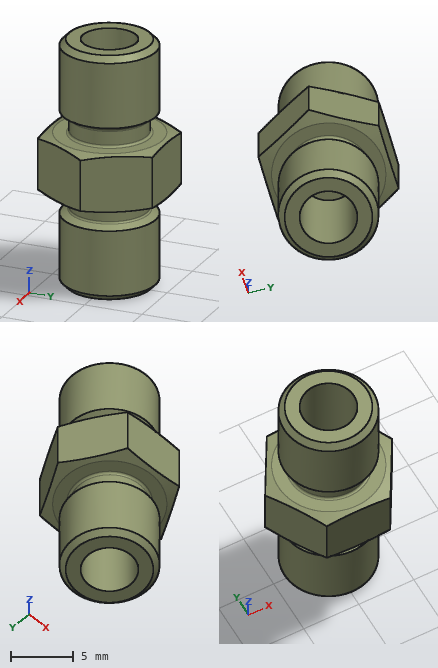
import cadquery as cq
import math

total_length = 21.0
hex_height = 5.0
hex_across_flats = 10.0
thread_diameter = 8.0
neck_diameter = 6.5
bore_diameter = 4.6
end_chamfer = 0.5

neck_length = 1.5
neck_fillet = 0.2
shoulder_angle = 30.0

hex_face_diameter = 9.11
hex_chamfer_angle = 15.0
rim_clearance = 0.2

half_length = total_length / 2
half_hex = hex_height / 2
thread_radius = thread_diameter / 2
neck_radius = neck_diameter / 2
hex_across_corners = hex_across_flats / math.cos(math.radians(30))
shoulder_height = (thread_radius - neck_radius) * math.tan(math.radians(shoulder_angle))
bore_depth = half_length - half_hex


def make_hexagon():
    """Hexagon with corners on the X axis, both faces chamfered by a cone."""
    prism = (
        cq.Workplane("XY")
        .polygon(6, hex_across_corners)
        .extrude(half_hex, both=True)
    )
    face_radius = hex_face_diameter / 2
    rim_radius = hex_across_corners / 2 + rim_clearance
    drop = (rim_radius - face_radius) * math.tan(math.radians(hex_chamfer_angle))
    envelope = (
        cq.Workplane("XZ")
        .moveTo(0, -half_hex)
        .lineTo(face_radius, -half_hex)
        .lineTo(rim_radius, drop - half_hex)
        .lineTo(rim_radius, half_hex - drop)
        .lineTo(face_radius, half_hex)
        .lineTo(0, half_hex)
        .close()
        .revolve(360, (0, 0), (0, 1))
    )
    return prism.intersect(envelope)


def make_upper_end():
    """Upper threaded end: filleted neck, sloped shoulder and chamfered thread body."""
    neck_top = half_hex + neck_length
    shoulder_top = neck_top + shoulder_height

    foot_diagonal = neck_fillet * (1 - math.sqrt(0.5))

    turn = math.radians(90 - shoulder_angle)
    tangent_length = neck_fillet * math.tan(turn / 2)
    arc_start = neck_top - tangent_length

    def shoulder_arc_point(angle):
        return (
            neck_radius + neck_fillet * (1 - math.cos(angle)),
            arc_start + neck_fillet * math.sin(angle),
        )

    return (
        cq.Workplane("XZ")
        .moveTo(0, 0)
        .lineTo(neck_radius + neck_fillet, 0)
        .lineTo(neck_radius + neck_fillet, half_hex)
        .threePointArc(
            (neck_radius + foot_diagonal, half_hex + foot_diagonal),
            (neck_radius, half_hex + neck_fillet),
        )
        .lineTo(neck_radius, arc_start)
        .threePointArc(shoulder_arc_point(turn / 2), shoulder_arc_point(turn))
        .lineTo(thread_radius, shoulder_top)
        .lineTo(thread_radius, half_length - end_chamfer)
        .lineTo(thread_radius - end_chamfer, half_length)
        .lineTo(0, half_length)
        .close()
        .revolve(360, (0, 0), (0, 1))
    )


def make_upper_bore():
    """Flat-bottomed bore opening at the top end."""
    return (
        cq.Workplane("XY")
        .workplane(offset=half_length - bore_depth)
        .circle(bore_diameter / 2)
        .extrude(bore_depth)
    )


upper_end = make_upper_end().cut(make_upper_bore())
lower_end = upper_end.mirror("XY")
result = make_hexagon().union(upper_end).union(lower_end)